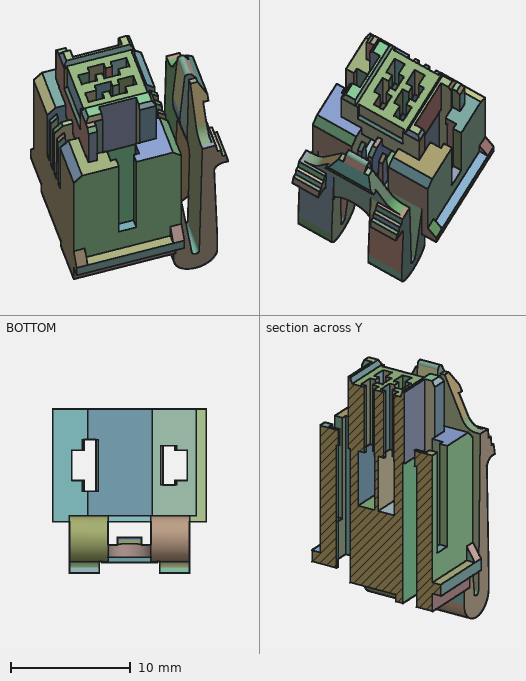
import cadquery as cq
import math


SHELL_WIDTH = 11.2
SHELL_DEPTH = 9.45
SHELL_TOP = 17.97
SHELL_BOTTOM = 5.22
TOP_CHAMFER = 0.75
FACE_Y = SHELL_DEPTH / 2

FOOT_BACK_Y = 4.23
FOOT_LEFT_X = -3.5
FOOT_STEP_X = 1.92
FOOT_BOTTOM = 4.23
DEEP_FOOT_BOTTOM = 3.6

RAIL_WIDTH = 12.85
RAIL_TOP = 6.28
GUSSET_TOP = 7.58
GUSSET_LENGTH = 0.97

RIB_WINDOW_WIDTH = 3.55
RIB_WINDOW_BOTTOM = 11.53
SIDE_SLOT_WIDTH = 1.52
SIDE_SLOT_BOTTOM = 8.7
SIDE_CHANNEL_WIDTH = 2.5
SIDE_CHANNEL_X = 4.83

CENTER_WALL = 0.42
RIB_X = 1.02
RIB_TOP = 17.9
RIB_ROOT_SIZE = (0.49, 0.8)
RIB_TIP_SIZE = (0.37, 0.65)

SOCKET_WIDTH = 7.58
SOCKET_DEPTH = 6.2
SOCKET_BOTTOM = 16.52
SOCKET_TOP = 22.6
RIDGE_TOP = 23.1
RIDGE_INNER_X = 2.38
RIDGE_OUTER_BEVEL = 0.25
RIDGE_INNER_BEVEL = 0.2
RIDGE_END_BEVEL = 0.3
RECESS_X = 2.82
RECESS_UNDERCUT = 0.18
LEFT_RECESS_WIDTH = 4.3
RIGHT_RECESS_WIDTH = 3.25
PANEL_WIDTH = 4.4
PANEL_DEPTH = 0.28
PANEL_BOTTOM = 19.73
EAR_X = 4.55
EAR_DEPTH = 0.76
EAR_BOTTOM = 18.1
EAR_CHAMFER_X = 0.32
EAR_CHAMFER_Z = 0.46

OPENING_WIDTH = 1.48
OPENING_LENGTH = 4.4
OPENING_X = 0.97
LEFT_NOTCH = 0.5
RIGHT_NOTCH = 0.58
END_NOTCH_Y = 1.2
MIDDLE_NOTCH_OUTER_Y = 0.8
MIDDLE_NOTCH_INNER_Y = 0.2

ARM_INNER_X = 1.78
ARM_OUTER_X = 5.04
BEND_RADIUS = 1.92
BEND_Y = FOOT_BACK_Y + BEND_RADIUS
GAP_RADIUS = 0.32
GAP_Z = 2.33
GAP_OUTER = (BEND_Y + GAP_RADIUS, GAP_Z)
ARM_LEAN = math.radians(7)
ARM_JOIN_Z = 11.39
ARM_TOP = 16.63
ARM_BACK_BEND = (BEND_Y + BEND_RADIUS, 3.46)

GRIP_INNER_X = 2.52
OVERALL_DEPTH = 13.75
GRIP_Y = OVERALL_DEPTH - FACE_Y
GRIP_BOTTOM = 13.93
GRIP_FILLET_START = (7.78, 13.25)
GRIP_FILLET_MIDDLE = (8.02, 13.68)
GRIP_FILLET_END = (8.55, GRIP_BOTTOM)
GRIP_STEPS = [(GRIP_Y, GRIP_BOTTOM), (8.82, 14.9), (8.5, 14.9), (8.39, 15.75), (8.08, 15.75), (7.92, ARM_TOP)]

PLATE_BACK_Y = 7.67
PLATE_SHOULDER_X = 1.45
PLATE_SHOULDER_Z = 21.15
PLATE_FRONT_TOP = (6.81, PLATE_SHOULDER_Z)
PLATE_RAMP_START = (7.44, PLATE_SHOULDER_Z)
PLATE_FILLET_END = (3.25, 17.49)
HOOK_Y = 8.13
HOOK_BOTTOM = 19.35
HOOK_TOP = 19.91
ARCH_Z = 11.3
TONGUE_WIDTH = 2.03
TONGUE_FOOT = (6.7, 12.47)
TONGUE_BULGE = [(6.25, 14.14), (6.05, 15.25), (6.05, 16.52)]
TONGUE_TIP = [(6.45, 21.62), (6.8, 21.95), (7.1, 21.74)]


def block(x_min, x_max, y_min, y_max, z_min, z_max):
    size = (x_max - x_min, y_max - y_min, z_max - z_min)
    return cq.Workplane("XY").box(*size, centered=False).translate((x_min, y_min, z_min))


def centered_block(width, depth, z_min, z_max):
    return block(-width / 2, width / 2, -depth / 2, depth / 2, z_min, z_max)


def along_x(profile, x_min, x_max):
    """Extrude a profile drawn in the YZ plane between two X positions."""
    return profile.extrude(x_max - x_min).translate((x_min, 0, 0))


def along_y(profile, y_min, y_max):
    """Extrude a profile drawn in the XZ plane between two Y positions."""
    return profile.extrude(-(y_max - y_min)).translate((0, y_min, 0))


def both_sides(solid):
    return solid.union(solid.mirror("YZ"))


def make_envelope():
    shell = centered_block(SHELL_WIDTH, SHELL_DEPTH, SHELL_BOTTOM, SHELL_TOP)
    return shell.faces(">Z").edges("|X").chamfer(TOP_CHAMFER)


def make_feet():
    right_x = SHELL_WIDTH / 2
    shallow = block(FOOT_LEFT_X, right_x, -FACE_Y, FOOT_BACK_Y, FOOT_BOTTOM, SHELL_BOTTOM)
    deep = block(FOOT_STEP_X, right_x, -FACE_Y, FOOT_BACK_Y, DEEP_FOOT_BOTTOM, SHELL_BOTTOM)
    return shallow.union(deep)


def make_rails():
    shell_x = SHELL_WIDTH / 2
    rail_x = RAIL_WIDTH / 2
    rails = centered_block(RAIL_WIDTH, SHELL_DEPTH, SHELL_BOTTOM, RAIL_TOP)
    gusset = [(-shell_x, RAIL_TOP), (-rail_x, RAIL_TOP), (-shell_x, GUSSET_TOP),
              (shell_x, GUSSET_TOP), (rail_x, RAIL_TOP), (shell_x, RAIL_TOP)]
    for y_min in (-FACE_Y, FACE_Y - GUSSET_LENGTH):
        profile = cq.Workplane("XZ").polyline(gusset).close()
        rails = rails.union(along_y(profile, y_min, y_min + GUSSET_LENGTH))
    return rails


def make_socket():
    half_x = SOCKET_WIDTH / 2
    half_y = SOCKET_DEPTH / 2
    socket = centered_block(SOCKET_WIDTH, SOCKET_DEPTH, SOCKET_BOTTOM, SOCKET_TOP)

    for side in (-1, 1):
        floor_y = side * (half_y - PANEL_DEPTH)
        panel = [(side * half_y, PANEL_BOTTOM), (floor_y, PANEL_BOTTOM + PANEL_DEPTH),
                 (floor_y, RIDGE_TOP), (side * half_y, RIDGE_TOP)]
        profile = cq.Workplane("YZ").polyline(panel).close()
        socket = socket.cut(along_x(profile, -PANEL_WIDTH / 2, PANEL_WIDTH / 2))

    across = [(RIDGE_INNER_X, SOCKET_TOP), (RIDGE_INNER_X + RIDGE_INNER_BEVEL, RIDGE_TOP),
              (half_x - RIDGE_OUTER_BEVEL, RIDGE_TOP), (half_x, SOCKET_TOP)]
    lengthwise = [(-half_y, SOCKET_TOP), (RIDGE_END_BEVEL - half_y, RIDGE_TOP),
                  (half_y - RIDGE_END_BEVEL, RIDGE_TOP), (half_y, SOCKET_TOP)]
    ridge = along_y(cq.Workplane("XZ").polyline(across).close(), -half_y, half_y)
    ends = along_x(cq.Workplane("YZ").polyline(lengthwise).close(), 0, half_x)
    socket = socket.union(both_sides(ridge.intersect(ends)))

    ear = [(half_x, EAR_BOTTOM), (EAR_X, EAR_BOTTOM), (EAR_X, SOCKET_TOP - EAR_CHAMFER_Z),
           (EAR_X - EAR_CHAMFER_X, SOCKET_TOP), (half_x, SOCKET_TOP)]
    profile = cq.Workplane("XZ").polyline(ear).close()
    return socket.union(both_sides(along_y(profile, -half_y, EAR_DEPTH - half_y)))


def make_opening():
    """A pair of contact openings: a long slot narrowed by notches from alternate sides."""
    left = -OPENING_WIDTH / 2
    right = OPENING_WIDTH / 2
    end = OPENING_LENGTH / 2
    opening = centered_block(OPENING_WIDTH, OPENING_LENGTH, SOCKET_BOTTOM, SOCKET_TOP)
    notches = [
        (right - RIGHT_NOTCH, right, END_NOTCH_Y, end),
        (left, left + LEFT_NOTCH, MIDDLE_NOTCH_INNER_Y, MIDDLE_NOTCH_OUTER_Y),
        (right - RIGHT_NOTCH, right, -MIDDLE_NOTCH_OUTER_Y, -MIDDLE_NOTCH_INNER_Y),
        (left, left + LEFT_NOTCH, -end, -END_NOTCH_Y),
    ]
    for notch in notches:
        opening = opening.cut(block(*notch, SOCKET_BOTTOM, SOCKET_TOP))
    return opening


def make_ribs():
    ribs = centered_block(CENTER_WALL, SHELL_DEPTH, RIB_WINDOW_BOTTOM, SHELL_TOP)
    height = RIB_TOP - RIB_WINDOW_BOTTOM
    for side in (-1, 1):
        root_y = side * (FACE_Y - RIB_ROOT_SIZE[1] / 2)
        tip_y = side * (FACE_Y - RIB_TIP_SIZE[1] / 2)
        rib = (cq.Workplane("XY", origin=(RIB_X, root_y, RIB_WINDOW_BOTTOM))
               .rect(*RIB_ROOT_SIZE)
               .workplane(offset=height)
               .center(0, tip_y - root_y)
               .rect(*RIB_TIP_SIZE)
               .loft(ruled=True))
        ribs = ribs.union(both_sides(rib))
    return ribs.intersect(make_envelope())


def make_housing():
    housing = make_envelope().union(make_feet()).union(make_rails())
    housing = housing.cut(centered_block(RIB_WINDOW_WIDTH, SHELL_DEPTH, RIB_WINDOW_BOTTOM, SHELL_TOP))
    housing = housing.union(make_socket()).union(make_ribs())

    side_slot = block(RECESS_X, SHELL_WIDTH / 2, -SIDE_SLOT_WIDTH / 2, SIDE_SLOT_WIDTH / 2,
                      SIDE_SLOT_BOTTOM, SHELL_TOP)
    channel = block(RECESS_X, SIDE_CHANNEL_X, -SIDE_CHANNEL_WIDTH / 2, SIDE_CHANNEL_WIDTH / 2,
                    DEEP_FOOT_BOTTOM, RIDGE_TOP)
    housing = housing.cut(both_sides(side_slot)).cut(both_sides(channel))
    half_x = SOCKET_WIDTH / 2
    for x_min, width in ((-half_x, LEFT_RECESS_WIDTH), (RECESS_X, RIGHT_RECESS_WIDTH)):
        x_max = x_min + half_x - RECESS_X
        sides = (-width / 2, width / 2)
        housing = housing.cut(block(x_min, x_max, *sides, DEEP_FOOT_BOTTOM, RIDGE_TOP))
        undercut = block(x_min - RECESS_UNDERCUT, x_max + RECESS_UNDERCUT, *sides,
                         DEEP_FOOT_BOTTOM, SOCKET_BOTTOM)
        housing = housing.cut(undercut)

    for x in (-OPENING_X, OPENING_X):
        housing = housing.cut(make_opening().translate((x, 0, 0)))
    return housing


def make_arms():
    """Two folded arms, each ending in a stepped finger grip."""
    front_lean = (PLATE_FRONT_TOP[0] - GAP_OUTER[0]) / (PLATE_SHOULDER_Z - GAP_Z)
    front_top_y = GAP_OUTER[0] + front_lean * (ARM_TOP - GAP_Z)
    gap_inner = (BEND_Y - GAP_RADIUS * math.cos(ARM_LEAN), GAP_Z - GAP_RADIUS * math.sin(ARM_LEAN))
    folded = (cq.Workplane("YZ")
              .moveTo(FOOT_BACK_Y, ARM_JOIN_Z)
              .lineTo(FOOT_BACK_Y, BEND_RADIUS)
              .threePointArc((BEND_Y, 0), (BEND_Y + BEND_RADIUS, BEND_RADIUS))
              .lineTo(*ARM_BACK_BEND)
              .lineTo(*GRIP_FILLET_START)
              .lineTo(PLATE_BACK_Y, ARM_TOP)
              .lineTo(front_top_y, ARM_TOP)
              .lineTo(*GAP_OUTER)
              .threePointArc((BEND_Y, GAP_Z - GAP_RADIUS), gap_inner)
              .lineTo(FACE_Y, ARM_JOIN_Z)
              .close())
    grip = (cq.Workplane("YZ")
            .moveTo(front_top_y, ARM_TOP)
            .lineTo(*GRIP_FILLET_START)
            .threePointArc(GRIP_FILLET_MIDDLE, GRIP_FILLET_END)
            .polyline(GRIP_STEPS, includeCurrent=True)
            .close())
    arm = along_x(folded, ARM_INNER_X, ARM_OUTER_X)
    return both_sides(arm.union(along_x(grip, GRIP_INNER_X, ARM_OUTER_X)))


def make_plate():
    """Tapered plate that bridges the arms, with a ramped hook and a bulged tongue."""
    fillet_x, fillet_z = PLATE_FILLET_END
    slope = math.atan2(PLATE_SHOULDER_Z - fillet_z, fillet_x - PLATE_SHOULDER_X)
    radius = (fillet_z - ARM_TOP) / (1 - math.cos(slope))
    middle = (fillet_x + radius * (math.sin(slope) - math.sin(slope / 2)),
              ARM_TOP + radius * (1 - math.cos(slope / 2)))
    start_x = fillet_x + radius * math.sin(slope)
    outline = (cq.Workplane("XZ")
               .moveTo(start_x, ARCH_Z)
               .lineTo(start_x, ARM_TOP)
               .threePointArc(middle, PLATE_FILLET_END)
               .lineTo(PLATE_SHOULDER_X, PLATE_SHOULDER_Z)
               .lineTo(-PLATE_SHOULDER_X, PLATE_SHOULDER_Z)
               .lineTo(-fillet_x, fillet_z)
               .threePointArc((-middle[0], middle[1]), (-start_x, ARM_TOP))
               .lineTo(-start_x, ARCH_Z)
               .close())
    section = (cq.Workplane("YZ")
               .moveTo(*GAP_OUTER)
               .lineTo(*PLATE_FRONT_TOP)
               .lineTo(*PLATE_RAMP_START)
               .lineTo(HOOK_Y, HOOK_TOP)
               .lineTo(HOOK_Y, HOOK_BOTTOM)
               .lineTo(PLATE_BACK_Y, HOOK_BOTTOM)
               .lineTo(PLATE_BACK_Y, GAP_Z)
               .close())
    tongue = (cq.Workplane("YZ")
              .moveTo(*TONGUE_FOOT)
              .lineTo(*TONGUE_BULGE[0])
              .threePointArc(*TONGUE_BULGE[1:])
              .lineTo(*TONGUE_TIP[0])
              .threePointArc(*TONGUE_TIP[1:])
              .lineTo(*PLATE_RAMP_START)
              .lineTo(*PLATE_FRONT_TOP)
              .close())
    plate = along_y(outline, GAP_OUTER[0], HOOK_Y)
    plate = plate.intersect(along_x(section, -ARM_OUTER_X, ARM_OUTER_X))
    latch = plate.union(along_x(tongue, -TONGUE_WIDTH / 2, TONGUE_WIDTH / 2))
    arch = along_y(cq.Workplane("XZ").center(0, ARCH_Z).circle(ARM_INNER_X), 0, HOOK_Y)
    return latch.cut(arch)


result = make_housing().union(make_arms()).union(make_plate())